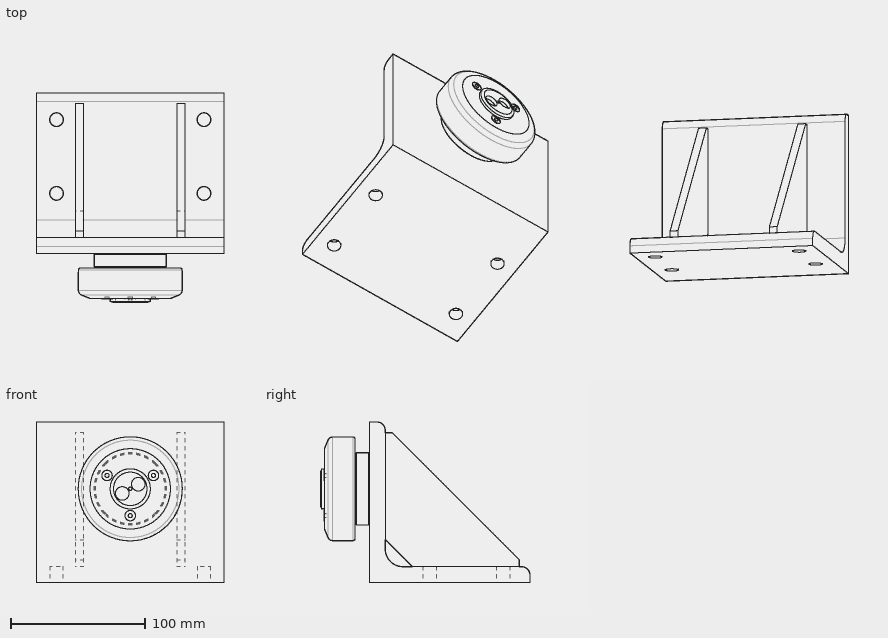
import cadquery as cq
import math

bracket_width = 140.0
leg_length = 120.0
leg_thickness = 12.0
root_radius = 13.0
toe_radius = 6.5

hole_diameter = 10.0
hole_spacing_x = 110.0
hole_spacing_y = 55.0
first_hole_y = 45.0

gusset_thickness = 6.0
gusset_gap = 70.0
gusset_leg = 100.0
gusset_end_flat = 5.0
gusset_corner_cut = 20.0

roller_height = 70.0
neck_diameter = 54.0
neck_length = 10.0
neck_chamfer = 0.5
collar_diameter = 52.0
roller_diameter = 77.7
roller_back = 10.5
roller_width = 23.0
roller_back_fillet = 1.7
roller_front_fillet = 4.0
roller_crown_radius = 500.0
face_diameter = 60.0
face_cone_angle = 22.0
face = roller_back + roller_width

hub_diameter = 30.0
hub_length = 3.0
hub_rim_diameter = 25.0
hub_rim_height = 1.0
hub_top = face + hub_length
center_hole_diameter = 2.5
center_hole_depth = 3.0
recess_diameter = 10.11
recess_depth = 3.5
recess_offset = 6.9
recess_angle = 30.0

screw_count = 3
screw_circle_radius = 20.0
screw_diameter = 7.8
screw_protrusion = 0.4
socket_diameter = 3.0
socket_depth = 1.5
first_screw_angle = -90.0


def cylinder_on_axis(diameter, start, end, angle=0.0, offset=0.0):
    """Cylinder parallel to the roller axis, from start to end outward of the upright leg."""
    x = offset * math.cos(math.radians(angle))
    z = roller_height + offset * math.sin(math.radians(angle))
    solid = cq.Solid.makeCylinder(diameter / 2, end - start, cq.Vector(x, -start, z), cq.Vector(0, -1, 0))
    return cq.Workplane(obj=solid)


def extrude_along_x(profile, x_start, length):
    """Extrude a Y-Z outline along +X from x_start."""
    return profile.extrude(length).translate((x_start, 0, 0))


def make_bracket():
    inner_root = leg_thickness + root_radius
    toe_flat = leg_thickness - toe_radius
    toe_start = leg_length - toe_radius
    profile = (
        cq.Workplane("YZ")
        .lineTo(leg_length, 0)
        .lineTo(leg_length, toe_flat)
        .radiusArc((toe_start, leg_thickness), -toe_radius)
        .lineTo(inner_root, leg_thickness)
        .radiusArc((leg_thickness, inner_root), root_radius)
        .lineTo(leg_thickness, toe_start)
        .radiusArc((toe_flat, leg_length), -toe_radius)
        .lineTo(0, leg_length)
        .close()
    )
    bracket = extrude_along_x(profile, -bracket_width / 2, bracket_width)
    holes = (
        cq.Workplane("XY")
        .center(0, first_hole_y + hole_spacing_y / 2)
        .rarray(hole_spacing_x, hole_spacing_y, 2, 2)
        .circle(hole_diameter / 2)
        .extrude(leg_thickness)
    )
    return bracket.cut(holes)


def make_gusset(x_start):
    near = leg_thickness
    far = leg_thickness + gusset_leg
    flat_end = near + gusset_end_flat
    cut_end = near + gusset_corner_cut
    outline = [
        (cut_end, near),
        (far, near),
        (far, flat_end),
        (flat_end, far),
        (near, far),
        (near, cut_end),
    ]
    profile = cq.Workplane("YZ").polyline(outline).close()
    return extrude_along_x(profile, x_start, gusset_thickness)


def make_neck():
    """Flange disc chamfered at both ends, with a narrower collar leading to the roller."""
    neck = cylinder_on_axis(neck_diameter, 0, neck_length).faces("|Y").chamfer(neck_chamfer)
    return neck.union(cylinder_on_axis(collar_diameter, neck_length, roller_back))


def make_roller():
    radius = roller_diameter / 2
    face_radius = face_diameter / 2
    cone_depth = (radius - face_radius) * math.tan(math.radians(face_cone_angle))
    crown_end = face - cone_depth
    crown_length = crown_end - roller_back
    crown_rise = roller_crown_radius - math.sqrt(roller_crown_radius**2 - (crown_length / 2) ** 2)
    edge_radius = radius - crown_rise
    roller = (
        cq.Workplane("XY")
        .moveTo(0, -roller_back)
        .lineTo(edge_radius, -roller_back)
        .threePointArc((radius, -(roller_back + crown_end) / 2), (edge_radius, -crown_end))
        .lineTo(face_radius, -face)
        .lineTo(0, -face)
        .close()
        .revolve(360, (0, 0, 0), (0, 1, 0))
        .translate((0, 0, roller_height))
    )
    roller = roller.faces(">Y").edges().fillet(roller_back_fillet)
    front_corner = cq.selectors.BoxSelector(
        (-radius, -crown_end - cone_depth / 2, roller_height - radius),
        (radius, -crown_end + cone_depth / 2, roller_height + radius),
        boundingbox=True,
    )
    return roller.edges(front_corner).edges("%CIRCLE").fillet(roller_front_fillet)


def make_hub():
    chamfer_width = (hub_diameter - hub_rim_diameter) / 2
    hub = cylinder_on_axis(hub_diameter, face, hub_top)
    hub = hub.faces("<Y").chamfer(hub_rim_height, chamfer_width)
    hub = hub.cut(cylinder_on_axis(center_hole_diameter, hub_top - center_hole_depth, hub_top))
    for angle in (recess_angle, recess_angle + 180):
        recess = cylinder_on_axis(recess_diameter, hub_top - recess_depth, hub_top, angle, recess_offset)
        hub = hub.cut(recess)
    return hub


def add_screws(body):
    screw_top = face + screw_protrusion
    for i in range(screw_count):
        angle = first_screw_angle + i * 360 / screw_count
        head = cylinder_on_axis(screw_diameter, face, screw_top, angle, screw_circle_radius)
        socket = cylinder_on_axis(
            socket_diameter, screw_top - socket_depth, screw_top, angle, screw_circle_radius
        )
        body = body.union(head).cut(socket)
    return body


result = make_bracket()
for gusset_x in (-gusset_gap / 2 - gusset_thickness, gusset_gap / 2):
    result = result.union(make_gusset(gusset_x))
result = result.union(make_neck())
result = result.union(make_roller())
result = result.union(make_hub())
result = add_screws(result)